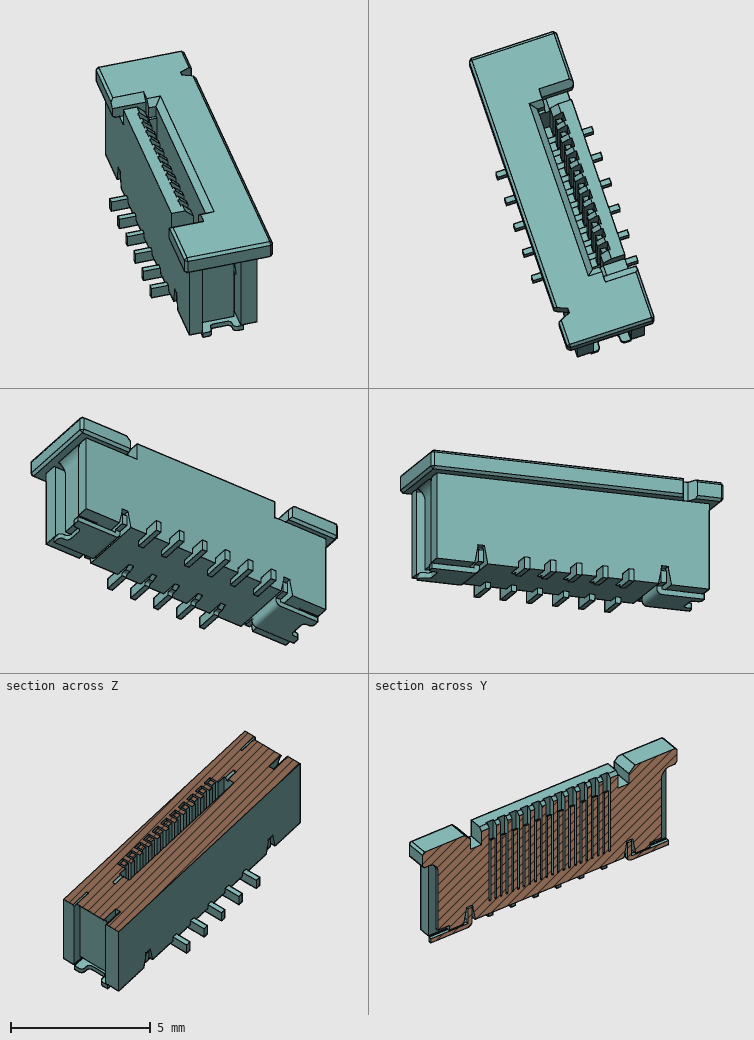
import cadquery as cq


TOTAL_HEIGHT = 4.15
PIN_SPAN = 3.8
EPS = 0.01

FLANGE_LENGTH = 11.2
FLANGE_BACK = 1.76
FLANGE_FRONT = -1.54
FLANGE_THICKNESS = 0.71
FLANGE_CHAMFER = 0.1
FLANGE_BOTTOM = TOTAL_HEIGHT - FLANGE_THICKNESS

KEY_X = -4.31
KEY_WIDTH = 0.56
KEY_ROOT_WIDTH = 0.17
KEY_DEPTH = 0.46

BODY_LENGTH = 10.44
BODY_DEPTH = 2.54
BODY_BOTTOM = 0.23
BODY_END = BODY_LENGTH / 2
BODY_FRONT = -BODY_DEPTH / 2

OPENING_HALF = 3.47
OPENING_BACK = -0.287
OPENING_CHAMFER = 0.27

SLOT_HALF = 3.0
SLOT_BACK = -0.017
SLOT_FRONT = -0.455
SLOT_FLOOR = 0.8
MOUTH_HALF = 3.10
MOUTH_FLARE = 0.24
LEAD_IN = 0.305

PITCH = 0.5
CONTACT_COUNT = 11
CONTACT_WIDTH = 0.2
GROOVE_WIDTH = 0.31
GROOVE_FRONT = -0.83
CONTACT_FRONT = -0.76
CONTACT_PEAK_Y = -0.535
CONTACT_PEAK_Z = 3.6
CONTACT_KNEE_Y = -0.645
CONTACT_KNEE_Z = 3.47
CONTACT_HOLLOW_RADIUS = 0.33
CONTACT_SHOULDER_Z = 3.41
CONTACT_HEEL_Y = -0.24
CONTACT_HEEL_HEIGHT = 0.14

PIN_HEIGHT = 0.44
PIN_INNER = 0.77
PIN_OUTER = PIN_SPAN / 2
ARCH_OUTER = 0.99
ARCH_HEIGHT = 0.13
ARCH_RADIUS = 0.05
RAMP_INNER = 0.55

CHANNEL_BACK = 0.657
CHANNEL_FRONT = -0.785
CHANNEL_DEPTH = 0.8
CHANNEL_FLARE = 0.1
PAD_SETBACK = 0.31
PAD_BACK = 0.49
PAD_FRONT = -0.765
PAD_BOTTOM = 0.43
PAD_CURVE_BOTTOM = 3.02
BARB_BOTTOM = 2.15
BARB_EDGE = 2.25
BARB_TOP = 2.55
BARB_REACH = 0.2

FOOT_HALF_WIDTH = 0.76
FOOT_THICKNESS = 0.2
FOOT_BEND_X = 3.4
LEG_HALF_WIDTH = 1.2
LEG_BOTTOM = 0.31
LEG_TOP = 0.85
LEG_CHAMFER = 0.1
TENON_HALF_WIDTH = 0.6
SCALLOP_HALF = 0.25
SCALLOP_RADIUS = 0.15
SCALLOP_DEPTH = 0.38
LEG_SLOT_X = 3.52
LEG_SLOT_WIDTH = 0.5
LEG_SLOT_SHOULDER_WIDTH = 0.28
LEG_SLOT_TOP_WIDTH = 0.25
LEG_SLOT_SHOULDER = 0.78
LEG_SLOT_TOP = 0.91


def block(x0, x1, y0, y1, z0, z1):
    """Box between two corners."""
    return cq.Workplane("XY").box(x1 - x0, y1 - y0, z1 - z0, centered=False).translate((x0, y0, z0))


def along_x(outline, x0, x1):
    """Extrude a YZ outline from x0 to x1."""
    return outline.extrude(x1 - x0).translate((x0, 0, 0))


def along_y(outline, y0, y1):
    """Extrude an XZ outline from y0 to y1."""
    return outline.extrude(-(y1 - y0)).translate((0, y0, 0))


def both_ends(piece):
    """A piece together with its mirror image about the YZ plane."""
    return piece.union(piece.mirror("YZ"))


def make_flange():
    half = FLANGE_LENGTH / 2
    flange = block(-half, half, FLANGE_FRONT, FLANGE_BACK, FLANGE_BOTTOM, TOTAL_HEIGHT)
    flange = flange.edges().chamfer(FLANGE_CHAMFER)
    key = (
        cq.Workplane("XY")
        .moveTo(KEY_X - KEY_WIDTH / 2, FLANGE_BACK)
        .lineTo(KEY_X - KEY_ROOT_WIDTH / 2, FLANGE_BACK - KEY_DEPTH)
        .lineTo(KEY_X + KEY_ROOT_WIDTH / 2, FLANGE_BACK - KEY_DEPTH)
        .lineTo(KEY_X + KEY_WIDTH / 2, FLANGE_BACK)
        .close()
        .extrude(TOTAL_HEIGHT)
    )
    return flange.cut(key)


def make_opening():
    """Bevelled gap in the front of the flange, with one bevelled front corner."""
    bevel_bottom = TOTAL_HEIGHT - OPENING_CHAMFER
    outline = cq.Workplane("XZ").polyline([
        (-OPENING_HALF, FLANGE_BOTTOM),
        (OPENING_HALF, FLANGE_BOTTOM),
        (OPENING_HALF, bevel_bottom),
        (OPENING_HALF + OPENING_CHAMFER, TOTAL_HEIGHT),
        (-OPENING_HALF - OPENING_CHAMFER, TOTAL_HEIGHT),
        (-OPENING_HALF, bevel_bottom),
    ]).close()
    gap = along_y(outline, FLANGE_FRONT, OPENING_BACK)
    corner = (
        cq.Workplane("XY", origin=(0, 0, FLANGE_BOTTOM))
        .moveTo(OPENING_HALF, FLANGE_FRONT)
        .lineTo(OPENING_HALF + FLANGE_CHAMFER, FLANGE_FRONT)
        .lineTo(OPENING_HALF, FLANGE_FRONT + FLANGE_CHAMFER)
        .close()
        .extrude(FLANGE_THICKNESS)
    )
    return gap.union(corner)


def make_mouth():
    """Flared mouth above the cable slot, plus the bevels on its two side ledges."""
    flare_half = MOUTH_HALF + MOUTH_FLARE
    flare_back = SLOT_BACK + MOUTH_FLARE
    flare_front = SLOT_FRONT - MOUTH_FLARE
    flare = (
        cq.Workplane("XY", origin=(0, (flare_back + flare_front) / 2, TOTAL_HEIGHT))
        .rect(2 * flare_half, flare_back - flare_front)
        .extrude(-MOUTH_FLARE, taper=45)
    )
    throat = block(-MOUTH_HALF, MOUTH_HALF, SLOT_FRONT, SLOT_BACK, FLANGE_BOTTOM, TOTAL_HEIGHT)
    ledge_bevel = cq.Workplane("YZ").polyline([
        (SLOT_FRONT, FLANGE_BOTTOM),
        (OPENING_BACK, FLANGE_BOTTOM),
        (OPENING_BACK, FLANGE_BOTTOM - (OPENING_BACK - SLOT_FRONT)),
    ]).close()
    return flare.union(throat).union(along_x(ledge_bevel, -OPENING_HALF, OPENING_HALF))


def make_front_wall():
    """Front wall of the cable slot, rising to full height with a lead-in bevel."""
    outline = cq.Workplane("YZ").polyline([
        (BODY_FRONT, SLOT_FLOOR),
        (SLOT_FRONT, SLOT_FLOOR),
        (SLOT_FRONT, TOTAL_HEIGHT - LEAD_IN),
        (SLOT_FRONT - LEAD_IN, TOTAL_HEIGHT),
        (BODY_FRONT, TOTAL_HEIGHT),
    ]).close()
    return along_x(outline, -SLOT_HALF, SLOT_HALF)


def make_contact(x):
    """Upright contact with a hollowed front bevel and a fillet down to the slot floor."""
    heel_length = CONTACT_HEEL_Y - CONTACT_PEAK_Y
    heel_radius = (heel_length**2 + CONTACT_HEEL_HEIGHT**2) / (2 * CONTACT_HEEL_HEIGHT)
    outline = (
        cq.Workplane("YZ")
        .moveTo(CONTACT_FRONT, SLOT_FLOOR - EPS)
        .lineTo(CONTACT_FRONT, CONTACT_SHOULDER_Z)
        .lineTo(CONTACT_KNEE_Y, CONTACT_KNEE_Z)
        .radiusArc((CONTACT_PEAK_Y, CONTACT_PEAK_Z), -CONTACT_HOLLOW_RADIUS)
        .lineTo(CONTACT_PEAK_Y, SLOT_FLOOR + CONTACT_HEEL_HEIGHT)
        .radiusArc((CONTACT_HEEL_Y, SLOT_FLOOR), -heel_radius)
        .lineTo(CONTACT_HEEL_Y, SLOT_FLOOR - EPS)
        .close()
    )
    return along_x(outline, x - CONTACT_WIDTH / 2, x + CONTACT_WIDTH / 2)


def make_groove(x):
    half = GROOVE_WIDTH / 2
    return block(x - half, x + half, GROOVE_FRONT, SLOT_BACK, SLOT_FLOOR, TOTAL_HEIGHT)


def make_front_pin(x):
    half = CONTACT_WIDTH / 2
    return block(x - half, x + half, -PIN_OUTER, -PIN_INNER, 0, PIN_HEIGHT)


def make_rear_pin(x):
    """Solder pin with a rounded relief and a ramp on its underside."""
    outline = (
        cq.Workplane("YZ")
        .moveTo(PIN_OUTER, 0)
        .lineTo(PIN_OUTER, PIN_HEIGHT)
        .lineTo(RAMP_INNER, PIN_HEIGHT)
        .lineTo(RAMP_INNER, BODY_BOTTOM)
        .lineTo(PIN_INNER, ARCH_HEIGHT)
        .lineTo(ARCH_OUTER - ARCH_RADIUS, ARCH_HEIGHT)
        .radiusArc((ARCH_OUTER, ARCH_HEIGHT - ARCH_RADIUS), ARCH_RADIUS)
        .lineTo(ARCH_OUTER, 0)
        .close()
    )
    return along_x(outline, x - CONTACT_WIDTH / 2, x + CONTACT_WIDTH / 2)


def make_channel():
    """Recess in the left end of the housing, flared beneath the flange."""
    inner = -BODY_END + CHANNEL_DEPTH
    outline = cq.Workplane("YZ").polyline([
        (CHANNEL_FRONT, BODY_BOTTOM),
        (CHANNEL_BACK, BODY_BOTTOM),
        (CHANNEL_BACK, FLANGE_BOTTOM - CHANNEL_FLARE),
        (CHANNEL_BACK + CHANNEL_FLARE, FLANGE_BOTTOM),
        (CHANNEL_FRONT - CHANNEL_FLARE, FLANGE_BOTTOM),
        (CHANNEL_FRONT, FLANGE_BOTTOM - CHANNEL_FLARE),
    ]).close()
    return along_x(outline, -BODY_END, inner)


def make_channel_pad():
    """Pad inside the left channel, curving outward up to the flange, and a barb beside it."""
    inner = -BODY_END + CHANNEL_DEPTH + EPS
    face = -BODY_END + PAD_SETBACK
    pad_outline = (
        cq.Workplane("XZ")
        .moveTo(inner, PAD_BOTTOM)
        .lineTo(face, PAD_BOTTOM)
        .lineTo(face, PAD_CURVE_BOTTOM)
        .tangentArcPoint((-BODY_END, FLANGE_BOTTOM), relative=False)
        .lineTo(-BODY_END, FLANGE_BOTTOM + EPS)
        .lineTo(inner, FLANGE_BOTTOM + EPS)
        .close()
    )
    barb_outline = cq.Workplane("XZ").polyline([
        (inner, BARB_BOTTOM),
        (inner - BARB_REACH, BARB_BOTTOM),
        (inner - BARB_REACH, BARB_EDGE),
        (inner, BARB_TOP),
    ]).close()
    pad = along_y(pad_outline, PAD_FRONT, PAD_BACK)
    return pad.union(along_y(barb_outline, PAD_BACK, CHANNEL_BACK))


def make_leg_slot():
    """Tapered slot across the underside that clears the leg of the left foot."""
    outline = cq.Workplane("XZ").polyline([
        (-LEG_SLOT_X - LEG_SLOT_WIDTH / 2, BODY_BOTTOM),
        (-LEG_SLOT_X - LEG_SLOT_SHOULDER_WIDTH / 2, LEG_SLOT_SHOULDER),
        (-LEG_SLOT_X - LEG_SLOT_TOP_WIDTH / 2, LEG_SLOT_TOP),
        (-LEG_SLOT_X + LEG_SLOT_TOP_WIDTH / 2, LEG_SLOT_TOP),
        (-LEG_SLOT_X + LEG_SLOT_SHOULDER_WIDTH / 2, LEG_SLOT_SHOULDER),
        (-LEG_SLOT_X + LEG_SLOT_WIDTH / 2, BODY_BOTTOM),
    ]).close()
    return along_y(outline, BODY_FRONT, -BODY_FRONT)


def make_scallop():
    """S-sided bite between the two tabs of the left foot."""
    middle = SCALLOP_HALF + SCALLOP_RADIUS
    outer = middle + SCALLOP_RADIUS
    tip = -BODY_END
    root = tip + SCALLOP_DEPTH
    return (
        cq.Workplane("XY")
        .moveTo(tip, -outer)
        .radiusArc((tip + SCALLOP_RADIUS, -middle), SCALLOP_RADIUS)
        .lineTo(root - SCALLOP_RADIUS, -middle)
        .radiusArc((root, -SCALLOP_HALF), -SCALLOP_RADIUS)
        .lineTo(root, SCALLOP_HALF)
        .radiusArc((root - SCALLOP_RADIUS, middle), -SCALLOP_RADIUS)
        .lineTo(tip + SCALLOP_RADIUS, middle)
        .radiusArc((tip, outer), SCALLOP_RADIUS)
        .close()
        .extrude(FOOT_THICKNESS)
    )


def make_foot():
    """Left solder foot: flat tabs, a bend and a wider leg held in the housing by a tenon."""
    leg_outer = -FOOT_BEND_X - FOOT_THICKNESS
    outline = (
        cq.Workplane("XZ")
        .moveTo(-BODY_END, 0)
        .lineTo(leg_outer, 0)
        .radiusArc((-FOOT_BEND_X, FOOT_THICKNESS), -FOOT_THICKNESS)
        .lineTo(-FOOT_BEND_X, LEG_BOTTOM)
        .lineTo(leg_outer, LEG_BOTTOM)
        .lineTo(leg_outer, FOOT_THICKNESS)
        .lineTo(-BODY_END, FOOT_THICKNESS)
        .close()
    )
    foot = along_y(outline, -FOOT_HALF_WIDTH, FOOT_HALF_WIDTH)
    leg = block(leg_outer, -FOOT_BEND_X, -LEG_HALF_WIDTH, LEG_HALF_WIDTH, LEG_BOTTOM, LEG_TOP)
    leg = leg.faces(">Z").edges("<Y or >Y").chamfer(LEG_CHAMFER)
    tenon = block(
        leg_outer, -FOOT_BEND_X,
        -TENON_HALF_WIDTH, TENON_HALF_WIDTH,
        FOOT_THICKNESS, LEG_SLOT_TOP + EPS,
    )
    return foot.union(leg).union(tenon).cut(make_scallop())


contact_xs = [PITCH * (i - (CONTACT_COUNT - 1) / 2) for i in range(CONTACT_COUNT)]
front_pin_xs = contact_xs[0::2]
rear_pin_xs = contact_xs[1::2]

housing = block(-BODY_END, BODY_END, BODY_FRONT, -BODY_FRONT, BODY_BOTTOM, FLANGE_BOTTOM + EPS)
housing = housing.cut(both_ends(make_channel()))
housing = housing.union(make_flange())
housing = housing.cut(make_opening()).cut(make_mouth())
housing = housing.cut(block(-SLOT_HALF, SLOT_HALF, SLOT_FRONT, SLOT_BACK, SLOT_FLOOR, TOTAL_HEIGHT))
housing = housing.union(make_front_wall())
housing = housing.union(both_ends(make_channel_pad()))
housing = housing.cut(both_ends(make_leg_slot()))
for contact_x in contact_xs:
    housing = housing.cut(make_groove(contact_x))

result = housing.union(both_ends(make_foot()))
for contact_x in contact_xs:
    result = result.union(make_contact(contact_x))
for pin_x in front_pin_xs:
    result = result.union(make_front_pin(pin_x))
for pin_x in rear_pin_xs:
    result = result.union(make_rear_pin(pin_x))